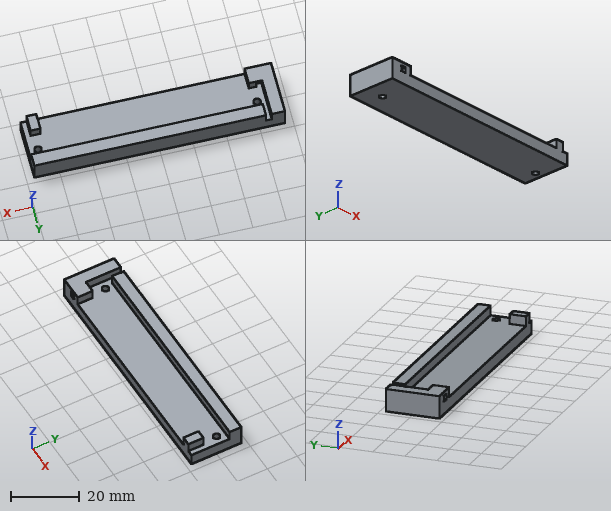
import cadquery as cq

length = 75.15
width = 16.7
height = 7.0

floor_height = 4.0
end_wall_thickness = 4.0
rail_width = 3.9
corner_length = 8.0
corner_depth = 5.0
post_start = 70.4
post_length = 2.9

channel_width = 1.7
channel_height = 1.7

hole_diameter = 2.1
hole_y = 10.0
hole_x_positions = (6.7, 72.35)


def block(x, y, z, size_x, size_y, size_z):
    """Box placed by its lowest corner."""
    return cq.Workplane("XY").box(size_x, size_y, size_z, centered=False).translate((x, y, z))


def raised_block(x, y, size_x, size_y):
    """Block from the underside up to the full height, fused with the floor."""
    return block(x, y, 0, size_x, size_y, height)


rail_start = end_wall_thickness + channel_width
result = block(0, 0, 0, length, width, floor_height)
result = result.union(raised_block(0, 0, end_wall_thickness, width))
result = result.union(raised_block(0, 0, corner_length, corner_depth))
result = result.union(raised_block(post_start, 0, post_length, corner_depth))
result = result.union(raised_block(rail_start, width - rail_width, length - rail_start, rail_width))

passage = block(end_wall_thickness, 0, floor_height, channel_width, corner_depth, channel_height)
result = result.cut(passage)

for hole_x in hole_x_positions:
    hole = cq.Workplane("XY").center(hole_x, hole_y).circle(hole_diameter / 2).extrude(floor_height)
    result = result.cut(hole)